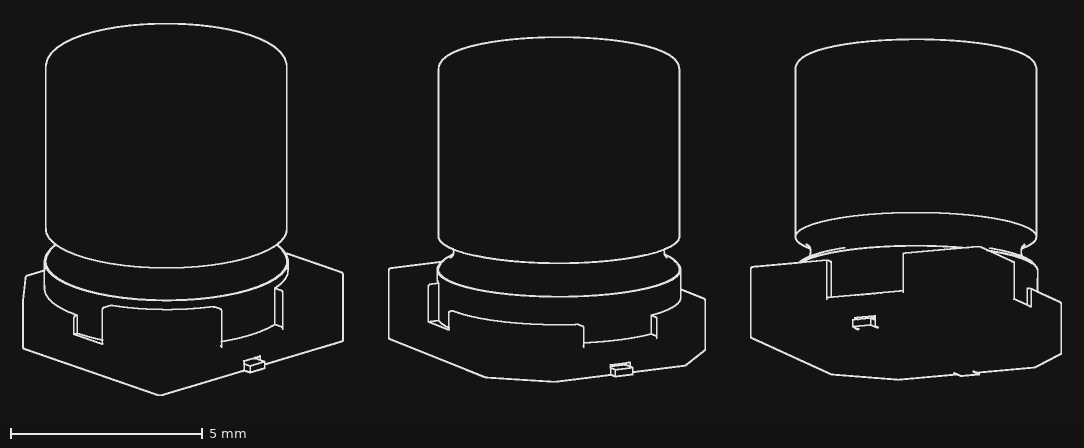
import cadquery as cq
import math

total_height = 7.7
overall_length = 7.0

base_width = 6.6
base_corner_cut = 1.34
low_top = 1.39
high_top = 1.895
slot_floor = 0.89
end_slot_width = 2.19
side_slot_length = 1.09
corner_radius = 0.1
rim_radius = 0.055
bottom_radius = 0.03

can_radius = 3.16
collar_radius = 3.19
can_top_radius = 0.2
groove_radius = 0.4
groove_height = 2.63
groove_lip_radius = 0.1

terminal_width = 0.52
terminal_thickness = 0.185
recess_width = 0.585
recess_height = 0.28
recess_depth = 0.2

half_base = base_width / 2


def base_block(height):
    """Square block with two corners cut off; upright and bottom edges are rounded."""
    return (
        cq.Workplane("XY")
        .rect(base_width, base_width)
        .extrude(height)
        .edges("|Z and <X")
        .chamfer(base_corner_cut)
        .edges("|Z")
        .fillet(corner_radius)
        .faces("<Z")
        .edges()
        .fillet(bottom_radius)
    )


def rimmed_block(height):
    """Base block whose top outline is rounded over."""
    return base_block(height).faces(">Z").edges().fillet(rim_radius)


def full_width_strip(x_start, x_end):
    """Upright slab between two X positions, covering the whole base in Y and Z."""
    return (
        cq.Workplane("XY")
        .box(x_end - x_start, base_width, high_top, centered=(False, True, False))
        .translate((x_start, 0, 0))
    )


def make_base():
    """Stepped base: low on the cut-corner half, high on the other, with four slots."""
    low_part = rimmed_block(low_top).intersect(full_width_strip(-half_base, 0))
    high_part = rimmed_block(high_top).intersect(full_width_strip(side_slot_length, half_base))
    end_slot = cq.Workplane("XY").box(base_width, end_slot_width, high_top, centered=(True, True, False))
    raised_corners = low_part.union(high_part).cut(end_slot)

    end_floor = rimmed_block(slot_floor)
    side_floor = base_block(slot_floor).intersect(full_width_strip(0, side_slot_length))
    return end_floor.union(side_floor).union(raised_corners)


def make_can():
    """Can with a rounded top and a round groove, standing on a slightly wider collar."""
    center_distance = groove_radius + groove_lip_radius
    lip_start = groove_height - math.sqrt(center_distance**2 - groove_lip_radius**2)
    groove_fraction = groove_radius / center_distance
    groove_bottom_x = can_radius - groove_lip_radius * groove_fraction
    groove_bottom_z = groove_height - (groove_height - lip_start) * groove_fraction
    profile = (
        cq.Workplane("XZ")
        .moveTo(0, slot_floor)
        .lineTo(collar_radius, slot_floor)
        .lineTo(collar_radius, lip_start)
        .lineTo(can_radius, lip_start)
        .radiusArc((groove_bottom_x, groove_bottom_z), -groove_lip_radius)
        .threePointArc(
            (can_radius - groove_radius, groove_height),
            (can_radius, groove_height + groove_radius),
        )
        .lineTo(can_radius, total_height)
        .lineTo(0, total_height)
        .close()
    )
    return profile.revolve(360, (0, 0, 0), (0, 1, 0)).faces(">Z").edges().fillet(can_top_radius)


def make_recesses():
    """Shallow pockets in both ends of the base, open at the bottom."""
    recess = cq.Workplane("XY").box(
        recess_depth, recess_width, recess_height, centered=(False, True, False)
    )
    near_end = recess.translate((-half_base, 0, 0))
    far_end = recess.translate((half_base - recess_depth, 0, 0))
    return near_end.union(far_end)


def make_terminals():
    """Flat strip through the base whose ends form the two terminals."""
    return cq.Workplane("XY").box(
        overall_length, terminal_width, terminal_thickness, centered=(True, True, False)
    )


result = make_base().cut(make_recesses()).union(make_can()).union(make_terminals())